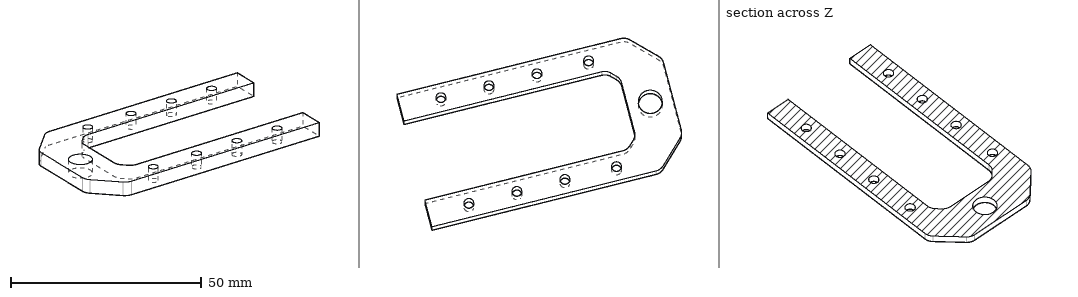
import cadquery as cq

width = 37.0
length = 70.0
thickness = 4.0
outer_chamfer = 8.0
outer_radius = 3.0

arm_width = 7.5
slot_width = width - 2 * arm_width
slot_floor = 12.05
slot_chamfer = 3.0
slot_radius = 3.0

arm_hole_diameter = 2.6
arm_hole_spacing = 29.55
first_hole_y = 19.0
first_pitch = 14.0
pitch = 13.0
second_hole_y = first_hole_y + first_pitch
arm_hole_ys = [first_hole_y] + [second_hole_y + i * pitch for i in range(3)]
pivot_diameter = 6.3
pivot_y = 6.0


def chamfered_block(block_width, start_y, chamfer, radius):
    """Block running from start_y to the open end, its two start corners cut at 45 degrees and rounded."""
    half = block_width / 2
    block = (
        cq.Workplane("XY")
        .moveTo(-half, length)
        .lineTo(-half, start_y + chamfer)
        .lineTo(-half + chamfer, start_y)
        .lineTo(half - chamfer, start_y)
        .lineTo(half, start_y + chamfer)
        .lineTo(half, length)
        .close()
        .extrude(thickness)
    )
    return block.edges("|Z").edges("not >Y").fillet(radius)


plate = chamfered_block(width, 0, outer_chamfer, outer_radius)
slot = chamfered_block(slot_width, slot_floor, slot_chamfer, slot_radius)

arm_hole_points = [(side * arm_hole_spacing / 2, y) for side in (-1, 1) for y in arm_hole_ys]
arm_holes = cq.Workplane("XY").pushPoints(arm_hole_points).circle(arm_hole_diameter / 2).extrude(thickness)
pivot_hole = cq.Workplane("XY").center(0, pivot_y).circle(pivot_diameter / 2).extrude(thickness)

result = plate.cut(slot).cut(arm_holes).cut(pivot_hole)